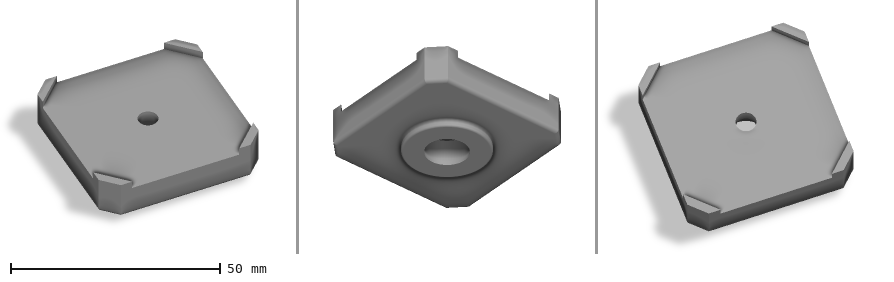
import cadquery as cq

body_width = 42.3
corner_cut = 4.0
body_height = 8.0
bottom_edge_radius = 1.0

pad_height = 2.0
pad_leg = 7.0

boss_diameter = 22.0
boss_height = 2.0
boss_root_radius = 0.5
boss_rim_radius = 0.5

shaft_hole_diameter = 5.0
lower_bore_diameter = 11.0
top_wall_thickness = 3.0

floor_level = boss_height + body_height


def cut_corner_prism(cut_leg, bottom, height):
    """Square prism whose four vertical edges are cut at 45 degrees."""
    prism = cq.Workplane("XY").workplane(offset=bottom).rect(body_width, body_width).extrude(height)
    return prism.edges("|Z").chamfer(cut_leg)


def make_body():
    """Body with corner pads left standing around the lowered top face."""
    block = cut_corner_prism(corner_cut, boss_height, body_height + pad_height)
    block = block.faces("<Z").edges().fillet(bottom_edge_radius)
    top_recess = cut_corner_prism(pad_leg, floor_level, pad_height)
    return block.cut(top_recess)


def add_boss(body):
    """Add the boss, blended into the body at its root and rounded at its rim."""
    boss = cq.Workplane("XY").circle(boss_diameter / 2).extrude(boss_height)
    boss = boss.faces("<Z").edges().fillet(boss_rim_radius)
    part = body.union(boss)
    return part.edges("%CIRCLE").edges(">Z").fillet(boss_root_radius)


def cut_stepped_hole(part):
    """Cut the central shaft hole and the wider bore below it."""
    shaft_hole = cq.Workplane("XY").circle(shaft_hole_diameter / 2).extrude(floor_level)
    lower_bore = cq.Workplane("XY").circle(lower_bore_diameter / 2).extrude(floor_level - top_wall_thickness)
    return part.cut(shaft_hole).cut(lower_bore)


result = cut_stepped_hole(add_boss(make_body()))